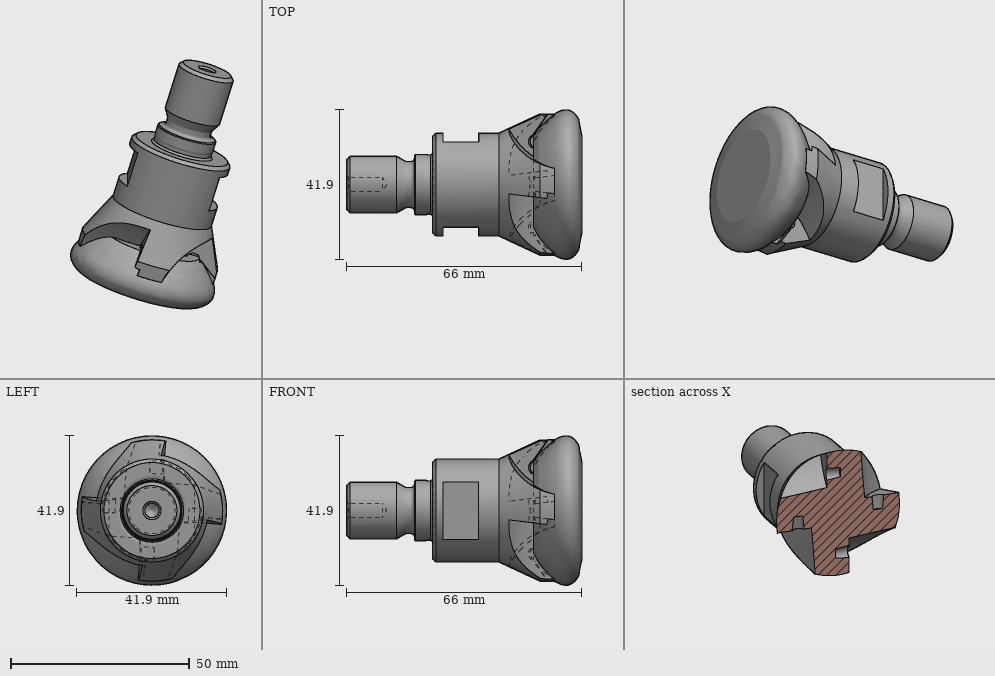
import cadquery as cq
import math

overall_length = 65.97

shank_radius = 8.0
shank_chamfer = 1.0
neck_taper_angle = 30.0
neck_radius = 6.5
neck_start = 16.85
neck_end = 18.0
neck_fillet = 1.0
pilot_radius = 8.5
pilot_chamfer = 0.3
pilot_end = 22.2
relief_radius = 8.35
relief_start = 22.7

shoulder_x = 24.0
body_radius = 14.45
body_chamfer = 1.0
cone_start = 42.65
cone_angle = 25.0
tooth_radius = 19.85
tooth_end = 58.17
undercut_depth = 0.2
undercut_inner = 8.9
undercut_outer = 9.7
undercut_lead = 0.45

flat_start = 27.0
flat_length = 10.0
flat_distance = 24.0

centre_hole_radius = 2.0
centre_hole_mouth_radius = 2.55
centre_hole_depth = 10.0
drill_half_angle = 59.0

ring_back_x = 52.4
ring_back_radius = 13.9
ring_edge_x = 53.8
ring_edge_radius = 15.9
ring_shoulder_radius = 19.75
ring_radius = 20.97
ring_crest_x = 61.6
ring_front_shoulder_x = 64.7
ring_front_shoulder_radius = 18.9
ring_front_radius = 13.5

flute_count = 4
flute_start_x = 45.4
flute_start_height = 15.6
rake_offset = 2.6
rake_angle = 7.0
flute_curve_length = 15.0
flute_end_height = 4.5
flute_curve_radius = 21.7
flute_extent = 30.0

seat_start = 7.05
seat_start_height = 14.3
seat_edge_angle = 54.5
seat_edge_length = 9.0
seat_end = 14.0
seat_depth = 1.6
screw_length = 7.6
screw_height = 12.1
screw_radius = 2.0
screw_depth = 4.0


def revolve_about_x(profile):
    """Close a half profile drawn in the XY plane and spin it about X."""
    return profile.close().revolve(360, (0, 0, 0), (1, 0, 0))


def make_body():
    cone_length = (tooth_radius - body_radius) / math.tan(math.radians(cone_angle))
    taper = math.radians(neck_taper_angle)
    taper_end_x = neck_start - neck_fillet * math.sin(taper)
    taper_end_radius = neck_radius + neck_fillet * (1 - math.cos(taper))
    shank_end = taper_end_x - (shank_radius - taper_end_radius) / math.tan(taper)
    fillet_end = neck_end + neck_fillet
    profile = (
        cq.Workplane("XY")
        .lineTo(0, shank_radius - shank_chamfer)
        .lineTo(shank_chamfer, shank_radius)
        .lineTo(shank_end, shank_radius)
        .lineTo(taper_end_x, taper_end_radius)
        .radiusArc((neck_start, neck_radius), -neck_fillet)
        .lineTo(neck_end, neck_radius)
        .radiusArc((fillet_end, neck_radius + neck_fillet), -neck_fillet)
        .lineTo(fillet_end, pilot_radius - pilot_chamfer)
        .lineTo(fillet_end + pilot_chamfer, pilot_radius)
        .lineTo(pilot_end, pilot_radius)
        .lineTo(relief_start, relief_radius)
        .lineTo(shoulder_x - undercut_lead, relief_radius)
        .lineTo(shoulder_x + undercut_depth, undercut_inner)
        .lineTo(shoulder_x, undercut_outer)
        .lineTo(shoulder_x, body_radius - body_chamfer)
        .lineTo(shoulder_x + body_chamfer, body_radius)
        .lineTo(cone_start, body_radius)
        .lineTo(cone_start + cone_length, tooth_radius)
        .lineTo(tooth_end, tooth_radius)
        .lineTo(tooth_end, 0)
    )
    return revolve_about_x(profile)


def make_flat_cutters():
    outside = body_radius - flat_distance / 2
    slab = cq.Workplane("XY").box(flat_length, outside, 2 * body_radius)
    x_mid = flat_start + flat_length / 2
    y_mid = flat_distance / 2 + outside / 2
    return slab.translate((x_mid, y_mid, 0)).union(slab.translate((x_mid, -y_mid, 0)))


def make_centre_hole():
    mouth_depth = centre_hole_mouth_radius - centre_hole_radius
    tip_depth = centre_hole_radius / math.tan(math.radians(drill_half_angle))
    profile = (
        cq.Workplane("XY")
        .lineTo(0, centre_hole_mouth_radius)
        .lineTo(mouth_depth, centre_hole_radius)
        .lineTo(centre_hole_depth, centre_hole_radius)
        .lineTo(centre_hole_depth + tip_depth, 0)
    )
    return revolve_about_x(profile)


def rake_plane():
    """Plane of the rake face: local x runs along the flute, local y is height above the axis."""
    angle = math.radians(rake_angle)
    return cq.Workplane(
        cq.Plane(
            origin=(flute_start_x, -rake_offset, 0),
            xDir=(math.cos(angle), -math.sin(angle), 0),
            normal=(-math.sin(angle), -math.cos(angle), 0),
        )
    )


def make_flute_cutter():
    """Flute with its insert seat and screw hole, for the tooth on the +Z side."""
    flute = (
        rake_plane()
        .moveTo(0, flute_extent)
        .lineTo(0, flute_start_height)
        .radiusArc((flute_curve_length, flute_end_height), -flute_curve_radius)
        .lineTo(flute_extent, flute_end_height)
        .lineTo(flute_extent, flute_extent)
        .close()
        .extrude(flute_extent)
    )
    seat = (
        rake_plane()
        .moveTo(seat_start, seat_start_height)
        .polarLine(seat_edge_length, seat_edge_angle)
        .hLineTo(seat_end)
        .vLineTo(seat_start_height)
        .close()
        .extrude(-seat_depth)
    )
    screw_hole = rake_plane().center(screw_length, screw_height).circle(screw_radius).extrude(-screw_depth)
    return flute.union(seat).union(screw_hole)


def make_ring():
    """Round-edged ring swept by the inserts: one smooth curve from back edge over crest to front face."""
    profile = (
        cq.Workplane("XY")
        .moveTo(ring_back_x, 0)
        .lineTo(ring_back_x, ring_back_radius)
        .lineTo(ring_edge_x, ring_edge_radius)
        .spline(
            [
                (tooth_end, ring_shoulder_radius),
                (ring_crest_x, ring_radius),
                (ring_front_shoulder_x, ring_front_shoulder_radius),
                (overall_length, ring_front_radius),
            ],
            tangents=[(1, 1), None, (1, 0), None, (1, -4)],
            includeCurrent=True,
        )
        .lineTo(overall_length, 0)
    )
    return revolve_about_x(profile)


result = make_body().cut(make_flat_cutters()).cut(make_centre_hole())
flute_cutter = make_flute_cutter()
for index in range(flute_count):
    turn = index * 360 / flute_count
    result = result.cut(flute_cutter.rotate((0, 0, 0), (1, 0, 0), turn))
result = result.union(make_ring())